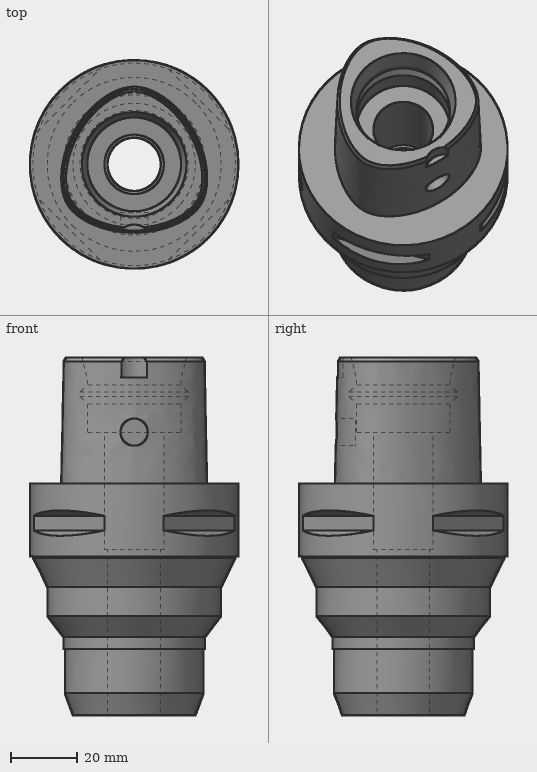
import cadquery as cq
import math

total_height = 108.0
shank_length = 38.0
flange_top = total_height - shank_length
flange_bottom = 48.0
flange_radius = 31.48

upper_cone_top = 47.5
upper_cone_radius = 30.6
collar_top = 38.7
collar_bottom = 30.0
collar_radius = 26.2
neck_top = 23.7
neck_radius = 21.4
nose_top = 20.0
nose_radius = 21.0
nose_taper_top = 6.7
nose_tip_radius = 18.5

shank_mean_radius = 22.0
lobe_count = 3
lobe_height = 1.4
first_lobe_angle = math.pi / 2
outline_steps = 36
taper_slope = 0.02
shank_edge_height = 1.3
shank_edge_inset = 0.8

bore_mouth_radius = 15.8
bore_radius = 14.1
bore_mouth_depth = 6.6
groove_start_depth = 8.3
groove_end_depth = 14.0
groove_cut = 2.2
bore_depth = 22.7
clearance_radius = 9.0
clearance_depth = 58.0
tool_bore_radius = 8.0

notch_depth = 6.0
notch_radius = 5.5
notch_back = 18.1

side_hole_radius = 4.1
side_hole_height = total_height - 22.6
side_hole_floor = 14.5

slot_count = 4
slot_height = 58.0
slot_floor = 27.6
slot_floor_width = 4.3
slot_mouth_width = 7.7
slot_first_angle = 45.0


def revolve_profile(points):
    """Turn an (r, z) outline around the Z axis."""
    return cq.Workplane("XZ").polyline(points).close().revolve(360, (0, 0), (0, 1))


def make_body():
    return revolve_profile([
        (0, 0),
        (nose_tip_radius, 0),
        (nose_radius, nose_taper_top),
        (nose_radius, nose_top),
        (neck_radius, nose_top),
        (neck_radius, neck_top),
        (collar_radius, collar_bottom),
        (collar_radius, collar_top),
        (upper_cone_radius, upper_cone_top),
        (upper_cone_radius, flange_bottom),
        (flange_radius, flange_bottom),
        (flange_radius, flange_top),
        (0, flange_top),
    ])


def lobed_point(mean_radius, turn):
    """Point on the lobed curve whose outward normal is at the given fraction of a turn."""
    angle = 2 * math.pi * turn + first_lobe_angle
    lobe_angle = 2 * math.pi * lobe_count * turn
    reach = mean_radius + lobe_height * math.cos(lobe_angle)
    slide = -lobe_count * lobe_height * math.sin(lobe_angle)
    return (
        reach * math.cos(angle) - slide * math.sin(angle),
        reach * math.sin(angle) + slide * math.cos(angle),
    )


def lobed_outline(mean_radius):
    return [lobed_point(mean_radius, step / outline_steps) for step in range(outline_steps)]


def lobed_frustum(bottom_height, bottom_radius, height, top_radius):
    return (
        cq.Workplane("XY", origin=(0, 0, bottom_height))
        .spline(lobed_outline(bottom_radius), periodic=True, makeWire=True)
        .workplane(offset=height)
        .spline(lobed_outline(top_radius), periodic=True, makeWire=True)
        .loft(ruled=True)
    )


def make_shank():
    taper_height = shank_length - shank_edge_height
    edge_radius = shank_mean_radius - taper_slope * taper_height
    taper = lobed_frustum(flange_top, shank_mean_radius, taper_height, edge_radius)
    edge = lobed_frustum(
        total_height - shank_edge_height, edge_radius, shank_edge_height, edge_radius - shank_edge_inset
    )
    return taper.union(edge)


def make_bore():
    groove_radius = bore_radius + groove_cut
    return revolve_profile([
        (0, total_height),
        (bore_mouth_radius, total_height),
        (bore_radius, total_height - bore_mouth_depth),
        (bore_radius, total_height - groove_start_depth),
        (groove_radius, total_height - groove_start_depth - groove_cut),
        (groove_radius, total_height - groove_end_depth + groove_cut),
        (bore_radius, total_height - groove_end_depth),
        (bore_radius, total_height - bore_depth),
        (clearance_radius, total_height - bore_depth),
        (clearance_radius, total_height - clearance_depth),
        (tool_bore_radius, total_height - clearance_depth),
        (tool_bore_radius, 0),
        (0, 0),
    ])


def make_notch():
    return (
        cq.Workplane("XY", origin=(0, -notch_back - notch_radius, total_height - notch_depth))
        .circle(notch_radius)
        .extrude(notch_depth)
    )


def make_side_hole():
    return (
        cq.Workplane("XZ", origin=(0, -side_hole_floor, side_hole_height))
        .circle(side_hole_radius)
        .extrude(flange_radius - side_hole_floor)
    )


def make_slot(angle):
    """Straight slot across the flange, its trapezoid section widening outwards."""
    half_floor = slot_floor_width / 2
    half_mouth = slot_mouth_width / 2
    return (
        cq.Workplane("XZ", origin=(0, 0, slot_height))
        .polyline([
            (slot_floor, -half_floor),
            (flange_radius, -half_mouth),
            (flange_radius, half_mouth),
            (slot_floor, half_floor),
        ])
        .close()
        .extrude(flange_radius, both=True)
        .rotate((0, 0, 0), (0, 0, 1), angle)
    )


result = make_body().union(make_shank()).cut(make_bore()).cut(make_notch()).cut(make_side_hole())
for index in range(slot_count):
    result = result.cut(make_slot(slot_first_angle + index * 360.0 / slot_count))